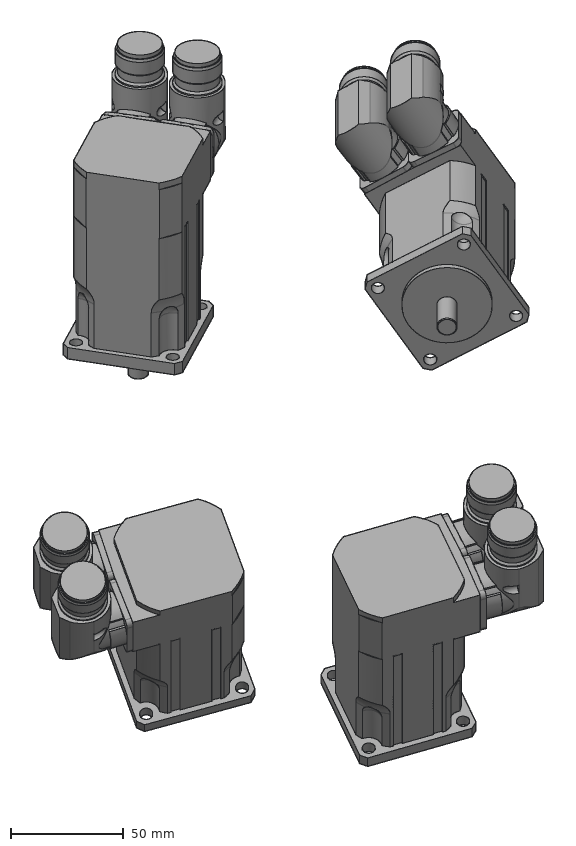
import cadquery as cq
import math

SHAFT_TOP = 17.5
FLANGE_BOTTOM = 20.0
FLANGE_TOP = 26.0
POCKET_TOP = 45.1
COVE_BOTTOM = 48.8
COVE_TOP = 56.1
HEAD_BOTTOM = 88.0
HEAD_TOP = 113.5
MOTOR_TOP = 116.9

SHAFT_DIAMETER = 9.0
SHAFT_CHAMFER = 0.4
PILOT_DIAMETER = 40.0
FLANGE_WIDTH = 55.0
FLANGE_CHAMFER = 2.8
BODY_WIDTH = 49.9
BODY_CORNER_RADIUS = 30.0
NECK_CORNER_RADIUS = 28.2
HEAD_CHAMFER = 8.0

SCREW_OFFSET = 22.3
SCREW_HOLE_DIAMETER = 5.8
POCKET_RADIUS = 6.0

GROOVE_WIDTH = 4.2
GROOVE_OFFSET = 9.5
GROOVE_DEPTH = 0.5

HEAD_REACH = 30.0
FACE_TILT = 1.5

PLATE_WIDTH = HEAD_TOP - HEAD_BOTTOM
PAD_RADIUS = PLATE_WIDTH / 2
NECK_RADIUS = 12.0
PLATE_THICKNESS = 2.8
PLATE_CORNER_RADIUS = 2.8
NECK_AXIS_Z = (HEAD_BOTTOM + HEAD_TOP) / 2
PAD_END = 10.3
PAD_WIDTH = 14.8
PLUG_AXIS_V = 19.2
ELBOW_TOP = 124.6
ELBOW_HALF_WIDTH = 12.4
ELBOW_BACK = 12.8
ELBOW_BACK_HALF_WIDTH = 5.4
ELBOW_CORNER = 9.2
SIDE_START = -1.0
NOTCH_RADIUS = 2.7
NOTCH_Z = 110.5

PLUG_RADIUS = 22.0 / 2
PLUG_GROOVE_RADIUS = 20.0 / 2
PLUG_EDGE_RADIUS = 10.6
PLUG_FOOT_TOP = 125.3
PLUG_GROOVE_BOTTOM = 126.3
PLUG_GROOVE_TOP = 130.1
PLUG_COLLAR_BOTTOM = 131.1
PLUG_COLLAR_TOP = 137.8
PLUG_RIM = 139.0
PLUG_TOP = 141.0


def cylinder_z(radius, bottom, top):
    return cq.Workplane("XY", origin=(0, 0, bottom)).circle(radius).extrude(top - bottom)


def square_z(width, bottom, top):
    return cq.Workplane("XY", origin=(0, 0, bottom)).rect(width, width).extrude(top - bottom)


def turned_body():
    """Round envelope whose overlap with the square body gives the turned corners and their cove."""
    step = BODY_CORNER_RADIUS - NECK_CORNER_RADIUS
    height = COVE_TOP - COVE_BOTTOM
    cove_radius = (height**2 + step**2) / (2 * step)
    half_angle = math.asin(height / cove_radius) / 2
    cove_middle = (
        NECK_CORNER_RADIUS + cove_radius * (1 - math.cos(half_angle)),
        COVE_BOTTOM + cove_radius * math.sin(half_angle),
    )
    return (
        cq.Workplane("XZ")
        .moveTo(0, FLANGE_TOP)
        .lineTo(NECK_CORNER_RADIUS, FLANGE_TOP)
        .lineTo(NECK_CORNER_RADIUS, COVE_BOTTOM)
        .threePointArc(cove_middle, (BODY_CORNER_RADIUS, COVE_TOP))
        .lineTo(BODY_CORNER_RADIUS, MOTOR_TOP)
        .lineTo(0, MOTOR_TOP)
        .close()
        .revolve(360, (0, 0, 0), (0, 1, 0))
    )


def connector_head():
    """Block under the cap that reaches out to the tilted connector faces."""
    half = BODY_WIDTH / 2
    face_drop = half * math.tan(math.radians(FACE_TILT))
    return (
        cq.Workplane("XY", origin=(0, 0, HEAD_BOTTOM))
        .polyline([
            (-half + HEAD_CHAMFER, -half),
            (half - HEAD_CHAMFER, -half),
            (half, -half + HEAD_CHAMFER),
            (half, HEAD_REACH - face_drop),
            (0, HEAD_REACH),
            (-half, HEAD_REACH - face_drop),
            (-half, -half + HEAD_CHAMFER),
        ])
        .close()
        .extrude(HEAD_TOP - HEAD_BOTTOM)
    )


def screw_pocket(x, y):
    """Round-topped clearance above one flange screw."""
    dome = cq.Workplane("XY", origin=(x, y, POCKET_TOP)).sphere(POCKET_RADIUS)
    return cylinder_z(POCKET_RADIUS, FLANGE_TOP, POCKET_TOP).translate((x, y, 0)).union(dome)


def make_motor():
    square_body = square_z(BODY_WIDTH, FLANGE_TOP, MOTOR_TOP)
    body = square_body.intersect(turned_body())
    body = body.cut(square_z(2 * BODY_WIDTH, HEAD_BOTTOM, HEAD_TOP)).union(connector_head())

    groove_length = HEAD_BOTTOM - FLANGE_TOP
    for x_side in (-1, 1):
        for y_side in (-1, 1):
            x_screw = x_side * SCREW_OFFSET
            y_screw = y_side * SCREW_OFFSET
            body = body.cut(screw_pocket(x_screw, y_screw))
            groove = cq.Workplane("XY").box(2 * GROOVE_DEPTH, GROOVE_WIDTH, groove_length)
            body = body.cut(groove.translate((
                x_side * BODY_WIDTH / 2,
                y_side * GROOVE_OFFSET,
                FLANGE_TOP + groove_length / 2,
            )))

    flange = (
        square_z(FLANGE_WIDTH, FLANGE_BOTTOM, FLANGE_TOP)
        .edges("|Z")
        .chamfer(FLANGE_CHAMFER)
        .faces(">Z")
        .workplane(origin=(0, 0, FLANGE_TOP))
        .rect(2 * SCREW_OFFSET, 2 * SCREW_OFFSET, forConstruction=True)
        .vertices()
        .hole(SCREW_HOLE_DIAMETER)
    )
    pilot = cylinder_z(PILOT_DIAMETER / 2, SHAFT_TOP, FLANGE_BOTTOM)
    shaft = cylinder_z(SHAFT_DIAMETER / 2, 0, SHAFT_TOP).faces("<Z").chamfer(SHAFT_CHAMFER)
    return body.union(flange).union(pilot).union(shaft)


def neck_section():
    """Sketch plane across the neck at V = 0, centred on the neck axis and facing +V."""
    return cq.Workplane(cq.Plane((0, 0, NECK_AXIS_Z), xDir=(-1, 0, 0), normal=(0, 1, 0)))


def connector_neck():
    """Mounting plate, tube and the four pads around the tube."""
    plate = (
        neck_section()
        .rect(PLATE_WIDTH, PLATE_WIDTH)
        .extrude(PLATE_THICKNESS)
        .edges("|Y")
        .fillet(PLATE_CORNER_RADIUS)
    )
    cross = (
        neck_section()
        .rect(PAD_WIDTH, PLATE_WIDTH)
        .extrude(PAD_END)
        .union(neck_section().rect(PLATE_WIDTH, PAD_WIDTH).extrude(PAD_END))
    )
    pads = neck_section().circle(PAD_RADIUS).extrude(PAD_END).intersect(cross)
    tube = neck_section().circle(NECK_RADIUS).extrude(PLUG_AXIS_V)
    return plate.union(pads).union(tube)


def elbow_outline():
    """Plan of the elbow: round towards the head, bowed sides, a broken-cornered flat back."""
    half = ELBOW_HALF_WIDTH
    rise = ELBOW_CORNER - SIDE_START
    inset = half - ELBOW_CORNER
    bow_radius = (rise**2 + inset**2) / (2 * inset)
    half_angle = math.asin(rise / bow_radius) / 2
    bow_w = half - bow_radius * (1 - math.cos(half_angle))
    bow_v = SIDE_START + bow_radius * math.sin(half_angle)
    return (
        cq.Workplane("XY", origin=(0, PLUG_AXIS_V, HEAD_BOTTOM))
        .moveTo(half, SIDE_START)
        .threePointArc((bow_w, bow_v), (ELBOW_CORNER, ELBOW_CORNER))
        .lineTo(ELBOW_BACK_HALF_WIDTH, ELBOW_BACK)
        .lineTo(-ELBOW_BACK_HALF_WIDTH, ELBOW_BACK)
        .lineTo(-ELBOW_CORNER, ELBOW_CORNER)
        .threePointArc((-bow_w, bow_v), (-half, SIDE_START))
        .threePointArc((0, -half), (half, SIDE_START))
        .close()
    )


def connector_elbow():
    """Upright elbow with a rounded underside and a notch in each side."""
    upright = elbow_outline().extrude(ELBOW_TOP - HEAD_BOTTOM)
    depth = PLUG_AXIS_V + ELBOW_BACK
    rounded_underside = (
        neck_section()
        .circle(PAD_RADIUS)
        .extrude(depth)
        .union(
            cq.Workplane("XY", origin=(0, depth / 2, NECK_AXIS_Z))
            .rect(2 * PAD_RADIUS, depth)
            .extrude(ELBOW_TOP - NECK_AXIS_Z)
        )
    )
    elbow = upright.intersect(rounded_underside)
    notch_end = PLUG_AXIS_V + SIDE_START
    for x_side in (-1, 1):
        notch = (
            cq.Workplane("XZ", origin=(x_side * ELBOW_HALF_WIDTH, notch_end, NOTCH_Z))
            .circle(NOTCH_RADIUS)
            .extrude(ELBOW_HALF_WIDTH)
        )
        elbow = elbow.cut(notch)
    return elbow


def connector_plug():
    return (
        cq.Workplane("XZ")
        .polyline([
            (0, ELBOW_TOP),
            (PLUG_RADIUS, ELBOW_TOP),
            (PLUG_RADIUS, PLUG_FOOT_TOP),
            (PLUG_GROOVE_RADIUS, PLUG_GROOVE_BOTTOM),
            (PLUG_GROOVE_RADIUS, PLUG_GROOVE_TOP),
            (PLUG_RADIUS, PLUG_COLLAR_BOTTOM),
            (PLUG_RADIUS, PLUG_COLLAR_TOP),
            (PLUG_EDGE_RADIUS, PLUG_RIM),
            (PLUG_GROOVE_RADIUS, PLUG_RIM),
            (PLUG_GROOVE_RADIUS, PLUG_TOP),
            (0, PLUG_TOP),
        ])
        .close()
        .revolve(360, (0, 0, 0), (0, 1, 0))
        .translate((0, PLUG_AXIS_V, 0))
    )


def make_connector(side):
    """Connector on one half of the head face; its plate meets the other one at the ridge."""
    connector = connector_elbow().union(connector_neck()).union(connector_plug())
    return (
        connector.translate((side * PLATE_WIDTH / 2, 0, 0))
        .rotate((0, 0, 0), (0, 0, 1), -side * FACE_TILT)
        .translate((0, HEAD_REACH, 0))
    )


motor = make_motor()
connectors = [make_connector(side) for side in (-1, 1)]

result = cq.Compound.makeCompound([motor.val(), *[connector.val() for connector in connectors]])